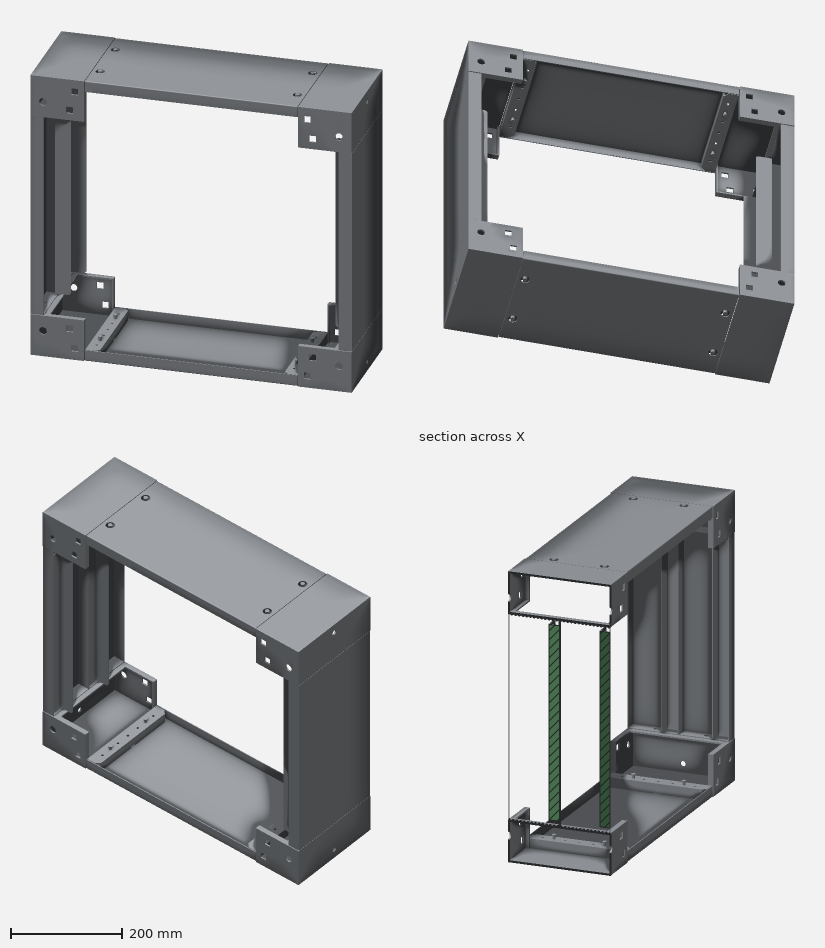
import cadquery as cq

FRAME_LENGTH = 600.0
FRAME_DEPTH = 200.0
FRAME_HEIGHT = 550.0

CORNER_SHEET = 3.0
CORNER_LENGTH = 100.0
CORNER_HEIGHT = 80.0
CORNER_SIDE_LIP = 10.0
CORNER_END_LIP = 34.0
ROUND_HOLE_DIAMETER = 14.5
ROUND_HOLE_FROM_END = 23.5
ROUND_HOLE_FROM_TOP = 50.0
SQUARE_HOLE = 12.5
SQUARE_HOLES = [(83.0, 23.0), (73.0, 60.0)]
END_HOLE_DIAMETER = 10.0
END_HOLE_FROM_TOP = 19.0

PANEL_SHEET = 1.5
PANEL_GAP = 1.0
SIDE_PANEL_GAP = 0.5
BEND_RADIUS = 2.0
PANEL_SETBACK = 1.0

PLATE_HEIGHT = 21.0
CHANNEL_WIDTH = 26.5
CHANNEL_SIDE_GAP = 2.5
CHANNEL_CHAMFER = 8.0
NOTCH_WIDTH = 12.0
NOTCH_DEPTH = 3.5
STRIP_HOLE_DIAMETER = 5.0
STRIP_HOLE_YS = [-71.0, -27.5, 0.0, 27.5, 71.0]

SCREW_X = 184.0
SCREW_Y = 49.0
SCREW_ACCESS_DIAMETER = 17.0
SCREW_HEAD_DIAMETER = 8.5
SCREW_PROTRUSION = 1.0
SCREW_SHANK_DIAMETER = 5.5
SCREW_TIP_HEIGHT = 3.0
SCREW_TIP_DEPTH = 29.5

SIDE_FLANGE = 24.5
SIDE_RETURN_REACH = 53.0
SIDE_LIP = 21.0
RETURN_END_GAP = 9.0
RETURN_CORNER_RADIUS = 5.5
TAB_HOLE_DIAMETER = 8.0

END_X = FRAME_LENGTH / 2
SIDE_Y = FRAME_DEPTH / 2
TOP_Z = FRAME_HEIGHT / 2
CORNER_INNER_X = END_X - CORNER_LENGTH
CORNER_RIM_Z = TOP_Z - CORNER_HEIGHT
PANEL_Y = SIDE_Y - PANEL_SETBACK


def block(x_range, y_range, z_range):
    """Axis-aligned block between pairs of limits."""
    low = [limits[0] for limits in (x_range, y_range, z_range)]
    size = [limits[1] - limits[0] for limits in (x_range, y_range, z_range)]
    return cq.Workplane("XY").box(*size, centered=False).translate(tuple(low))


def upright_cylinder(x, y, diameter, z_low, z_high):
    """Vertical cylinder between two heights."""
    return cq.Workplane("XY", origin=(x, y, z_low)).circle(diameter / 2).extrude(z_high - z_low)


def make_corner():
    """Sheet box at the +X, +Z corner, open towards -X and -Z with folded lips around the openings."""
    body = block((CORNER_INNER_X, END_X), (-SIDE_Y, SIDE_Y), (CORNER_RIM_Z, TOP_Z))
    wall_y = SIDE_Y - CORNER_SHEET
    lip_y = SIDE_Y - CORNER_SIDE_LIP
    roof_z = TOP_Z - CORNER_SHEET
    cavity = block(
        (CORNER_INNER_X + CORNER_SHEET, END_X - CORNER_SHEET),
        (-wall_y, wall_y),
        (CORNER_RIM_Z + CORNER_SHEET, roof_z),
    )
    opening = block((CORNER_INNER_X, END_X - CORNER_END_LIP), (-lip_y, lip_y), (CORNER_RIM_Z, roof_z))
    body = body.cut(cavity).cut(opening)

    side_plane = cq.Workplane("XZ", origin=(0, SIDE_Y, 0))
    round_hole = (
        side_plane.center(END_X - ROUND_HOLE_FROM_END, TOP_Z - ROUND_HOLE_FROM_TOP)
        .circle(ROUND_HOLE_DIAMETER / 2)
        .extrude(FRAME_DEPTH)
    )
    square_centres = [(END_X - from_end, TOP_Z - from_top) for from_end, from_top in SQUARE_HOLES]
    square_holes = side_plane.pushPoints(square_centres).rect(SQUARE_HOLE, SQUARE_HOLE).extrude(FRAME_DEPTH)
    end_hole = (
        cq.Workplane("YZ", origin=(END_X - CORNER_SHEET, 0, 0))
        .center(0, TOP_Z - END_HOLE_FROM_TOP)
        .circle(END_HOLE_DIAMETER / 2)
        .extrude(CORNER_SHEET)
    )
    return body.cut(round_hole).cut(square_holes).cut(end_hole)


def make_end_channel(strip_z, plate_z, panel_x):
    """Folded channel at the +X end of a panel: a perforated strip and a wall hanging beside the plate."""
    channel_y = PANEL_Y - CHANNEL_SIDE_GAP
    inner_x = panel_x - CHANNEL_WIDTH
    channel = block((inner_x, panel_x), (-channel_y, channel_y), (strip_z, plate_z))
    channel = channel.edges("|Z and <X").chamfer(CHANNEL_CHAMFER)
    hollow = block(
        (inner_x + PANEL_SHEET, panel_x - PANEL_SHEET),
        (-PANEL_Y, PANEL_Y),
        (strip_z + PANEL_SHEET, plate_z),
    )
    notch = block(
        (inner_x, inner_x + PANEL_SHEET),
        (-NOTCH_WIDTH / 2, NOTCH_WIDTH / 2),
        (plate_z - NOTCH_DEPTH, plate_z),
    )
    channel = channel.cut(hollow).cut(notch)
    for y in STRIP_HOLE_YS:
        hole = upright_cylinder(SCREW_X, y, STRIP_HOLE_DIAMETER, strip_z, strip_z + PANEL_SHEET)
        channel = channel.cut(hole)
    return channel


def make_screw(y, strip_z):
    """Captive screw held by the strip, with its head just outside the plate and a wider tip inside."""
    tip_z = TOP_Z - SCREW_TIP_DEPTH
    shank = upright_cylinder(SCREW_X, y, SCREW_SHANK_DIAMETER, tip_z, strip_z)
    tip = upright_cylinder(SCREW_X, y, SCREW_HEAD_DIAMETER, tip_z, tip_z + SCREW_TIP_HEIGHT)
    head = upright_cylinder(SCREW_X, y, SCREW_HEAD_DIAMETER, strip_z, TOP_Z + SCREW_PROTRUSION)
    return shank.union(tip).union(head)


def make_top_panel():
    """Shallow tray facing down, with a channel and two captive screws at each end."""
    panel_x = CORNER_INNER_X - PANEL_GAP
    strip_z = TOP_Z - PLATE_HEIGHT
    plate_z = TOP_Z - PANEL_SHEET
    panel = block((-panel_x, panel_x), (-PANEL_Y, PANEL_Y), (strip_z, TOP_Z))
    panel = panel.edges("|X and >Z").fillet(BEND_RADIUS)
    inner_y = PANEL_Y - PANEL_SHEET
    panel = panel.cut(block((-panel_x, panel_x), (-inner_y, inner_y), (strip_z, plate_z)))

    end = make_end_channel(strip_z, plate_z, panel_x)
    for y in (-SCREW_Y, SCREW_Y):
        access = upright_cylinder(SCREW_X, y, SCREW_ACCESS_DIAMETER, plate_z, TOP_Z)
        panel = panel.cut(access).cut(access.mirror("YZ"))
        end = end.union(make_screw(y, strip_z))
    return panel.union(end).union(end.mirror("YZ"))


def make_side_panel(y_low, y_high):
    """Upright channel at the +X end, with end tabs and an inward return along its +Y edge."""
    flange_x = END_X - SIDE_FLANGE
    half_height = CORNER_RIM_Z - SIDE_PANEL_GAP
    z_range = (-half_height, half_height)
    return_y = y_high - SIDE_LIP

    panel = block((flange_x, END_X), (y_low, y_high), z_range)
    hollow = block(
        (flange_x, END_X - PANEL_SHEET),
        (y_low + PANEL_SHEET, y_high - PANEL_SHEET),
        (-half_height + PANEL_SHEET, half_height - PANEL_SHEET),
    )
    panel = panel.cut(hollow)

    return_z = half_height - RETURN_END_GAP
    return_z_range = (-return_z, return_z)
    lip = block((flange_x, flange_x + PANEL_SHEET), (return_y, y_high), return_z_range)
    inward_return = block(
        (END_X - SIDE_RETURN_REACH, flange_x + PANEL_SHEET),
        (return_y, return_y + PANEL_SHEET),
        return_z_range,
    )
    inward_return = inward_return.edges("|Y and <X").fillet(RETURN_CORNER_RADIUS)
    tab_holes = upright_cylinder(
        END_X - SIDE_FLANGE / 2, (y_low + y_high) / 2, TAB_HOLE_DIAMETER, -half_height, half_height
    )
    return panel.union(lip).union(inward_return).cut(tab_holes)


corner = make_corner()
upper_corners = [corner, corner.mirror("YZ")]
corners = upper_corners + [upper.mirror("XY") for upper in upper_corners]

top_panel = make_top_panel()
bottom_panel = top_panel.mirror("XY")

side_panels = []
for y_low, y_high in ((-PANEL_Y, -SIDE_PANEL_GAP / 2), (SIDE_PANEL_GAP / 2, PANEL_Y)):
    side_panel = make_side_panel(y_low, y_high)
    side_panels += [side_panel, side_panel.mirror("YZ")]

result = cq.Compound.makeCompound(
    [body.val() for body in corners + [top_panel, bottom_panel] + side_panels]
)